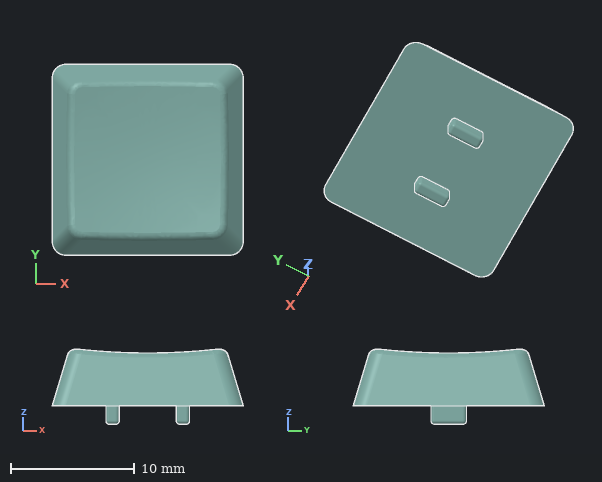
import cadquery as cq
import math

base_side = 15.5
wall_lean = 0.3
corner_radius = 1.2
rim_radius = 0.6

dish_radius = 50.0
dish_floor = 3.94
blank_height = 5.58

stem_height = 1.5
stem_width = 1.1
stem_length = 2.9
stem_spacing = 5.7
stem_edge_radius = 0.3


def make_body():
    """Tapered square block with rounded corners, a dished top and a rounded rim."""
    taper = math.degrees(math.atan(wall_lean))
    block = cq.Workplane("XY").rect(base_side, base_side).extrude(blank_height, taper=taper)
    block = block.edges("not(#Z or |X or |Y)").fillet(corner_radius)

    cap_reach = base_side
    cap_rise = dish_radius - math.sqrt(dish_radius**2 - cap_reach**2)
    cap_top = dish_floor + cap_rise
    dish = (
        cq.Workplane("XZ")
        .moveTo(0, dish_floor)
        .radiusArc((cap_reach, cap_top), -dish_radius)
        .lineTo(0, cap_top)
        .close()
        .revolve(360, (0, 0), (0, 1))
    )
    dished = block.cut(dish)
    return dished.faces("%SPHERE").edges().fillet(rim_radius)


def make_stem(x):
    """Rounded rectangular peg hanging below the body, centred at x."""
    peg = (
        cq.Workplane("XY")
        .center(x, 0)
        .rect(stem_width, stem_length)
        .extrude(-stem_height)
        .edges("|Z")
        .fillet(stem_edge_radius)
    )
    return peg.faces("<Z").edges().fillet(stem_edge_radius)


result = make_body()
for stem_x in (-stem_spacing / 2, stem_spacing / 2):
    result = result.union(make_stem(stem_x))